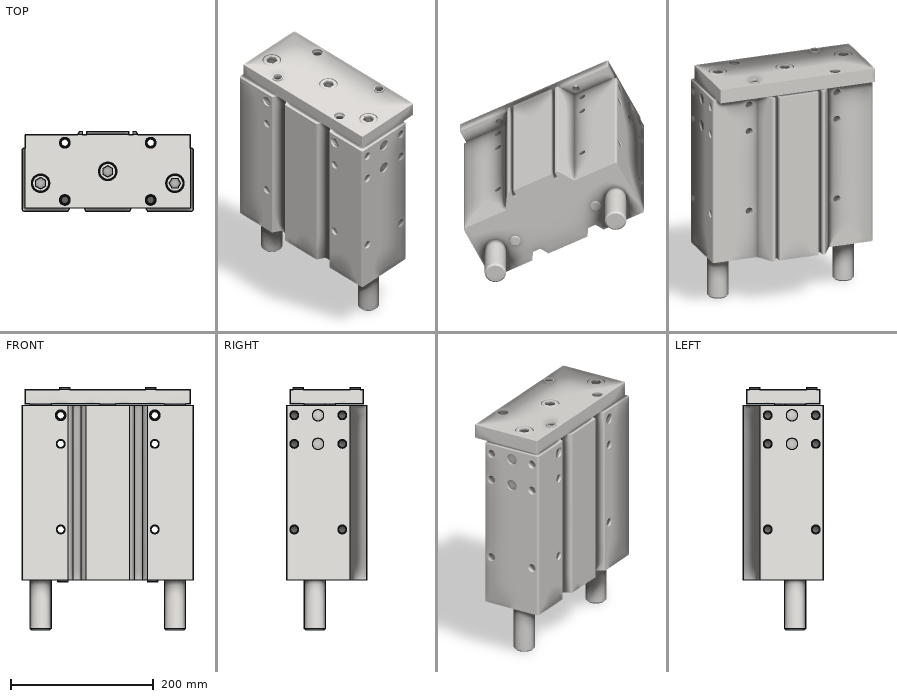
import cadquery as cq
import math


housing_height = 245.0
plate_gap = 2.0
plate_thickness = 20.0
collar_height = 2.7
total_height = 340.0
housing_top = housing_height
plate_bottom = housing_top + plate_gap
plate_top = plate_bottom + plate_thickness
rod_bottom = plate_top + collar_height - total_height

housing_width = 240.0
housing_depth = 112.0
half_width = housing_width / 2
front_y = -housing_depth / 2
back_y = housing_depth / 2
corner_radius = 3.0
shoulder_y = 32.5
back_foot_half_width = 54.0
back_top_half_width = 39.5
back_corner_radius = 2.0

groove_depth = 12.0
groove_floor_inner = 37.5
groove_floor_outer = 49.0
groove_flare = 6.8

slot_inner = 29.5
slot_width = 5.8
slot_depth = 10.0

hole_drops = (14.0, 54.0, 174.0)
hole_diameter = 10.2
hole_mouth_diameter = 12.2
drill_point_angle = 118.0
front_hole_x = 66.0
side_hole_ys = (-45.5, 21.8)
side_hole_depth = 23.8
port_y = -12.2
port_drops = hole_drops[:2]
port_diameter = 16.0
port_depth = 3.0

sleeve_diameter = 15.0
recess_depth = 3.0
foot_x = 63.0
foot_height = 2.7
foot_chamfer = 0.7

guide_x = 94.0
guide_y = -16.5
guide_diameter = 30.0
guide_chamfer = 2.5
piston_diameter = 24.0
piston_flats = 22.0
piston_length_in_housing = 170.0

plate_width = 231.8
plate_depth = 103.0
plate_corner_radius = 1.0
plate_hole_x = 60.0
plate_hole_y = 40.0
collar_bore_diameter = 12.2

screw_sites = ((-guide_x, guide_y), (0.0, 0.0), (guide_x, guide_y))
socket_turns = (0.0, 0.0, 30.0)
head_diameter = 25.0
head_chamfer = 1.5
head_bore_diameter = 26.0
head_height = 16.0
socket_flats = 14.0
socket_depth = 5.8
shank_diameter = 16.0
shank_length = 40.0
head_seat = plate_top - head_height


def cylinder(x, y, z, diameter, height):
    """Upright cylinder standing on (x, y, z)."""
    return cq.Workplane("XY", origin=(x, y, z)).circle(diameter / 2).extrude(height)


def drill(point, direction, diameter, depth):
    """Straight cylindrical cutter starting at point."""
    return cq.Workplane(
        obj=cq.Solid.makeCylinder(diameter / 2, depth, cq.Vector(*point), cq.Vector(*direction))
    )


def cone(point, direction, mouth_diameter, bore_diameter):
    """45-degree countersink cutter, from the mouth diameter down to the bore diameter."""
    depth = (mouth_diameter - bore_diameter) / 2
    solid = cq.Solid.makeCone(
        mouth_diameter / 2, bore_diameter / 2, depth, cq.Vector(*point), cq.Vector(*direction)
    )
    return cq.Workplane(obj=solid)


def mouth_cone(point, direction):
    """Countersink of the small holes."""
    return cone(point, direction, hole_mouth_diameter, hole_diameter)


def housing_blank():
    """Extruded profile with a tapered back and rounded outer edges."""
    outline = [
        (-half_width, front_y),
        (half_width, front_y),
        (half_width, shoulder_y),
        (back_foot_half_width, shoulder_y),
        (back_top_half_width, back_y),
        (-back_top_half_width, back_y),
        (-back_foot_half_width, shoulder_y),
        (-half_width, shoulder_y),
    ]
    blank = cq.Workplane("XY").polyline(outline).close().extrude(housing_height)
    blank = blank.edges("|Z").edges("<X or >X").fillet(corner_radius)
    return blank.edges("|Z").edges(">Y").fillet(back_corner_radius)


def front_groove(side):
    """Flared groove in the front face on the given side (-1 or 1)."""
    floor_y = front_y + groove_depth
    outline = [
        (side * (groove_floor_inner - groove_flare), front_y),
        (side * groove_floor_inner, floor_y),
        (side * groove_floor_outer, floor_y),
        (side * (groove_floor_outer + groove_flare), front_y),
    ]
    return cq.Workplane("XY").polyline(outline).close().extrude(housing_height)


def back_slot(side):
    """Straight slot in the back face on the given side (-1 or 1)."""
    center = (side * (slot_inner + slot_width / 2), back_y - slot_depth / 2)
    return cq.Workplane("XY").center(*center).rect(slot_width, slot_depth).extrude(housing_height)


def front_hole(x, z):
    """Through hole along Y with a countersunk front mouth."""
    mouth = (x, front_y, z)
    return drill(mouth, (0, 1, 0), hole_diameter, housing_depth).union(mouth_cone(mouth, (0, 1, 0)))


def sleeve_recess(point, direction):
    """Counterbore for a centering sleeve, with the hole countersunk again at its floor."""
    floor = cq.Vector(*point) + cq.Vector(*direction) * recess_depth
    recess = drill(point, direction, sleeve_diameter, recess_depth)
    return recess.union(mouth_cone(floor.toTuple(), direction))


def side_hole(side, y, z):
    """Blind hole along X with a countersunk mouth and a drill point."""
    inward = (-side, 0, 0)
    mouth = (side * half_width, y, z)
    point_length = hole_diameter / 2 / math.tan(math.radians(drill_point_angle / 2))
    tip = cq.Solid.makeCone(
        hole_diameter / 2, 0, point_length,
        cq.Vector(side * (half_width - side_hole_depth), y, z), cq.Vector(*inward),
    )
    bore = drill(mouth, inward, hole_diameter, side_hole_depth)
    return bore.union(cq.Workplane(obj=tip)).union(mouth_cone(mouth, inward))


def make_housing():
    housing = housing_blank()
    for side in (-1, 1):
        housing = housing.cut(front_groove(side)).cut(back_slot(side))
        for drop in hole_drops:
            z = housing_top - drop
            housing = housing.cut(front_hole(side * front_hole_x, z))
            for y in side_hole_ys:
                housing = housing.cut(side_hole(side, y, z))
        top_hole = (side * front_hole_x, front_y, housing_top - hole_drops[0])
        housing = housing.cut(sleeve_recess(top_hole, (0, 1, 0)))
        for drop in port_drops:
            mouth = (side * half_width, port_y, housing_top - drop)
            housing = housing.cut(drill(mouth, (-side, 0, 0), port_diameter, port_depth))
        housing = housing.cut(cylinder(side * guide_x, guide_y, 0, guide_diameter, housing_height))
        foot = cylinder(side * foot_x, guide_y, -foot_height, sleeve_diameter, foot_height)
        housing = housing.union(foot.faces("<Z").chamfer(foot_chamfer))
    bore_bottom = housing_top - piston_length_in_housing
    return housing.cut(cylinder(0, 0, bore_bottom, piston_diameter, piston_length_in_housing))


def add_collar(plate, x, y):
    """Add a raised collar to the plate, bored wider than the hole below it."""
    bore_bottom = plate_top - recess_depth
    bore = cylinder(x, y, bore_bottom, collar_bore_diameter, recess_depth + collar_height)
    return plate.union(cylinder(x, y, plate_top, sleeve_diameter, collar_height)).cut(bore)


def make_plate():
    plate = (
        cq.Workplane("XY", origin=(0, 0, plate_bottom))
        .rect(plate_width, plate_depth)
        .extrude(plate_thickness)
        .edges("|Z")
        .fillet(plate_corner_radius)
    )
    for x in (-plate_hole_x, plate_hole_x):
        for y in (-plate_hole_y, plate_hole_y):
            has_collar = x * y > 0
            if has_collar:
                plate = add_collar(plate, x, y)
            else:
                plate = plate.cut(sleeve_recess((x, y, plate_top), (0, 0, -1)))
            plate = plate.cut(cylinder(x, y, plate_bottom, hole_diameter, plate_thickness))
    for x, y in screw_sites:
        plate = plate.cut(cylinder(x, y, plate_bottom, shank_diameter, plate_thickness))
        plate = plate.cut(cylinder(x, y, head_seat, head_bore_diameter, head_height))
    return plate


def shank_hole(x, y):
    """Hole for a screw shank in the end of a rod."""
    return cylinder(x, y, head_seat - shank_length, shank_diameter, shank_length)


def make_guide_rod(x):
    rod = cylinder(x, guide_y, rod_bottom, guide_diameter, plate_bottom - rod_bottom)
    return rod.faces("<Z").chamfer(guide_chamfer).cut(shank_hole(x, guide_y))


def make_piston_rod():
    """Round rod with two wrench flats between the housing and the plate."""
    rod_length = piston_length_in_housing + plate_gap
    rod = cylinder(0, 0, housing_top - piston_length_in_housing, piston_diameter, rod_length)
    neck = cylinder(0, 0, housing_top, piston_diameter, plate_gap)
    flats = neck.cut(
        cq.Workplane("XY", origin=(0, 0, housing_top))
        .rect(piston_flats, 2 * piston_diameter)
        .extrude(plate_gap)
    )
    return rod.cut(flats).cut(shank_hole(0, 0))


def make_screw(x, y, socket_turn):
    """Socket head cap screw with its head flush with the plate."""
    head = cylinder(x, y, head_seat, head_diameter, head_height).faces(">Z").chamfer(head_chamfer)
    socket = (
        cq.Workplane("XY", origin=(x, y, plate_top - socket_depth))
        .transformed(rotate=(0, 0, socket_turn))
        .polygon(6, socket_flats, circumscribed=True)
        .extrude(socket_depth)
    )
    return head.union(shank_hole(x, y)).cut(socket)


housing = make_housing()
plate = make_plate()
guide_rods = [make_guide_rod(x) for x in (-guide_x, guide_x)]
piston_rod = make_piston_rod()
screws = [make_screw(x, y, turn) for (x, y), turn in zip(screw_sites, socket_turns)]

bodies = [housing, plate, *guide_rods, piston_rod, *screws]
result = cq.Compound.makeCompound([body.val() for body in bodies])